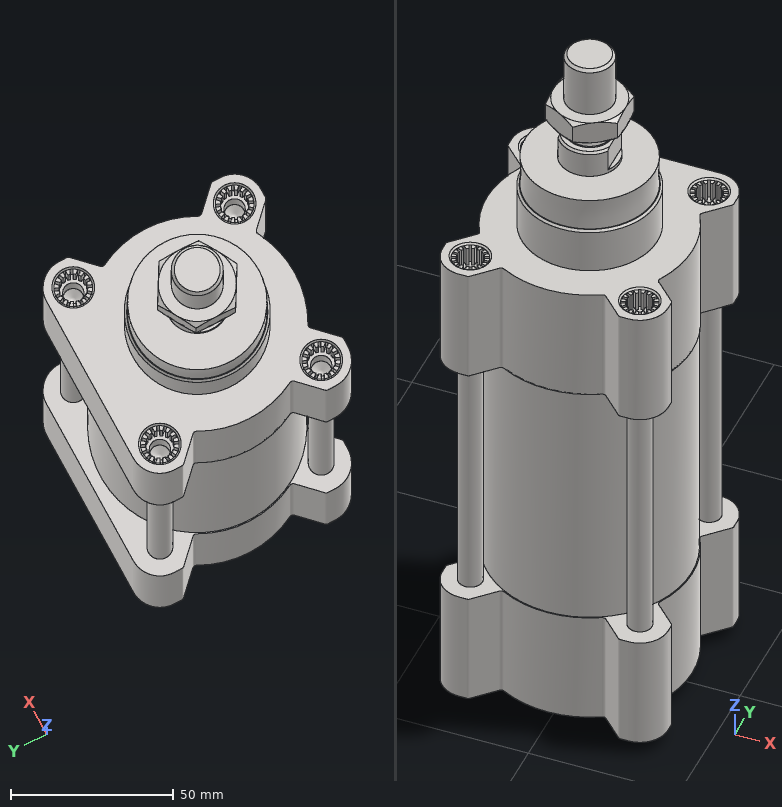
import cadquery as cq
import math

rear_cap_bottom = 4.1
cap_height = 40.0
rear_cap_top = rear_cap_bottom + cap_height
front_cap_bottom = 134.5
front_cap_top = front_cap_bottom + cap_height
boss_step = 190.5
boss_top = 202.0
collar_top = 211.5
flare_start = 212.0
undercut_bottom = 213.5
undercut_top = 214.5
thread_bottom = 216.5
nut_bottom = 217.3
nut_height = 8.0
rod_tip = 243.0

cap_width = 75.0
cap_half_width = cap_width / 2
cap_round_diameter = 68.3
tie_rod_offset = 28.2
lug_radius = cap_half_width - tie_rod_offset
lug_corner = 25.0
lug_fillet = 1.2
flank_match_tolerance = 0.02
barrel_diameter = 67.5
tie_rod_diameter = 8.0

socket_rim_diameter = 13.1
spline_outer_diameter = 12.0
spline_inner_diameter = 8.8
spline_grooves = 16
spline_depth = 7.3
pilot_diameter = 6.5
pilot_depth = 7.3
drill_tip_angle = 118.0

boss_diameter = 45.0
boss_neck_diameter = 43.0
boss_waist_diameter = 42.5
boss_step_chamfer = 0.7
rear_collar_chamfer = 0.7

collar_diameter = 20.0
collar_chamfer = 0.7
flat_bottom = 203.2
across_flats = 16.5
thread_diameter = 16.0
undercut_diameter = 13.9
undercut_flare_diameter = 14.8
tip_chamfer = 1.0

nut_across_flats = 24.0
nut_chamfer_angle = 30.0


def cylinder(diameter, bottom, top):
    """Upright cylinder on the main axis."""
    return cq.Workplane("XY").workplane(offset=bottom).circle(diameter / 2).extrude(top - bottom)


def revolve_profile(sketch):
    """Turn a closed profile of (radius, height) about the main axis."""
    return sketch.close().revolve(360, (0, 0, 0), (0, 1, 0))


def make_cap(bottom):
    """Round cap with four corner lugs; the +Y side is filled out flat."""
    slab = cq.Workplane("XY").workplane(offset=bottom)
    cap = slab.circle(cap_round_diameter / 2).extrude(cap_height)

    arc_middle = tie_rod_offset + lug_radius * math.sqrt(0.5)
    flank_shift = cap_half_width - lug_corner
    lug = (
        slab.moveTo(0, 0)
        .lineTo(flank_shift, 0)
        .lineTo(cap_half_width, lug_corner)
        .lineTo(cap_half_width, tie_rod_offset)
        .threePointArc((arc_middle, arc_middle), (tie_rod_offset, cap_half_width))
        .lineTo(lug_corner, cap_half_width)
        .lineTo(0, flank_shift)
        .close()
        .extrude(cap_height)
    )
    for quarter in range(4):
        cap = cap.union(lug.rotate((0, 0, 0), (0, 0, 1), 90 * quarter))

    flat_side = (
        slab.center(0, cap_half_width / 2)
        .rect(2 * tie_rod_offset, cap_half_width)
        .extrude(cap_height)
    )
    cap = cap.union(flat_side)

    def on_flank(edge):
        place = edge.Center()
        return abs(abs(abs(place.x) - abs(place.y)) - flank_shift) < flank_match_tolerance

    return cap.edges("|Z").filter(on_flank).fillet(lug_fillet)


def make_tie_rods():
    """Four tie rods that join the two caps."""
    return (
        cq.Workplane("XY").workplane(offset=rear_cap_top)
        .rect(2 * tie_rod_offset, 2 * tie_rod_offset, forConstruction=True)
        .vertices()
        .circle(tie_rod_diameter / 2)
        .extrude(front_cap_bottom - rear_cap_top)
    )


def make_socket():
    """Chamfered splined hole with a pointed pilot hole in its floor, as a cutting tool."""
    rim_chamfer = (socket_rim_diameter - spline_outer_diameter) / 2
    pilot_bottom = -spline_depth - pilot_depth
    tip_height = pilot_diameter / 2 / math.tan(math.radians(drill_tip_angle / 2))
    socket = revolve_profile(
        cq.Workplane("XZ")
        .moveTo(0, 0)
        .lineTo(socket_rim_diameter / 2, 0)
        .lineTo(spline_outer_diameter / 2, -rim_chamfer)
        .lineTo(spline_inner_diameter / 2, -rim_chamfer)
        .lineTo(spline_inner_diameter / 2, -spline_depth)
        .lineTo(pilot_diameter / 2, -spline_depth)
        .lineTo(pilot_diameter / 2, pilot_bottom)
        .lineTo(0, pilot_bottom - tip_height)
    )

    groove_width = math.pi * spline_inner_diameter / spline_grooves / 2
    groove = (
        cq.Workplane("XY")
        .center(spline_outer_diameter / 2, 0)
        .rect(spline_outer_diameter, groove_width)
        .extrude(-spline_depth)
        .intersect(cylinder(spline_outer_diameter, -spline_depth, 0))
    )
    for number in range(spline_grooves):
        socket = socket.union(groove.rotate((0, 0, 0), (0, 0, 1), 360 * number / spline_grooves))
    return socket


def make_front_boss():
    """Stepped boss on the front cap whose neck is slightly waisted."""
    return revolve_profile(
        cq.Workplane("XZ")
        .moveTo(0, front_cap_top)
        .lineTo(boss_diameter / 2, front_cap_top)
        .lineTo(boss_diameter / 2, boss_step - boss_step_chamfer)
        .lineTo(boss_diameter / 2 - boss_step_chamfer, boss_step)
        .lineTo(boss_neck_diameter / 2, boss_step)
        .threePointArc(
            (boss_waist_diameter / 2, (boss_step + boss_top) / 2),
            (boss_neck_diameter / 2, boss_top),
        )
        .lineTo(0, boss_top)
    )


def make_housing():
    """Caps, barrel, tie rods and centring collars as one solid."""
    rear_collar = cylinder(boss_diameter, 0, rear_cap_bottom).faces("<Z").chamfer(rear_collar_chamfer)
    housing = (
        make_cap(rear_cap_bottom)
        .union(cylinder(barrel_diameter, rear_cap_top, front_cap_bottom))
        .union(make_tie_rods())
        .union(make_cap(front_cap_bottom))
        .union(rear_collar)
        .union(make_front_boss())
    )
    socket = make_socket()
    for x in (-tie_rod_offset, tie_rod_offset):
        for y in (-tie_rod_offset, tie_rod_offset):
            housing = housing.cut(socket.translate((x, y, front_cap_top)))
    return housing


def make_piston_rod():
    """Rod end standing on the boss: collar with two wrench flats, undercut and thread."""
    rod = revolve_profile(
        cq.Workplane("XZ")
        .moveTo(0, boss_top)
        .lineTo(collar_diameter / 2, boss_top)
        .lineTo(collar_diameter / 2, collar_top - collar_chamfer)
        .lineTo(collar_diameter / 2 - collar_chamfer, collar_top)
        .lineTo(undercut_flare_diameter / 2, collar_top)
        .lineTo(undercut_flare_diameter / 2, flare_start)
        .lineTo(undercut_diameter / 2, undercut_bottom)
        .lineTo(undercut_diameter / 2, undercut_top)
        .lineTo(thread_diameter / 2, thread_bottom)
        .lineTo(thread_diameter / 2, rod_tip - tip_chamfer)
        .lineTo(thread_diameter / 2 - tip_chamfer, rod_tip)
        .lineTo(0, rod_tip)
    )
    flat_cut = (
        cq.Workplane("XY").workplane(offset=flat_bottom)
        .rect(2 * collar_diameter, 2 * collar_diameter)
        .rect(across_flats, 2 * collar_diameter)
        .extrude(collar_top - flat_bottom)
    )
    return rod.cut(flat_cut)


def make_nut():
    """Hexagon nut with flats on the X sides and corners chamfered at both ends."""
    corner_diameter = nut_across_flats / math.cos(math.radians(30))
    corner_drop = (corner_diameter - nut_across_flats) / 2 * math.tan(math.radians(nut_chamfer_angle))
    hexagon = (
        cq.Workplane("XY").workplane(offset=nut_bottom)
        .transformed(rotate=(0, 0, 30))
        .polygon(6, corner_diameter)
        .extrude(nut_height)
    )
    nut_top = nut_bottom + nut_height
    chamfer_envelope = revolve_profile(
        cq.Workplane("XZ")
        .moveTo(0, nut_bottom)
        .lineTo(nut_across_flats / 2, nut_bottom)
        .lineTo(corner_diameter / 2, nut_bottom + corner_drop)
        .lineTo(corner_diameter / 2, nut_top - corner_drop)
        .lineTo(nut_across_flats / 2, nut_top)
        .lineTo(0, nut_top)
    )
    return hexagon.intersect(chamfer_envelope).cut(cylinder(thread_diameter, nut_bottom, nut_top))


housing = make_housing()
piston_rod = make_piston_rod()
nut = make_nut()

result = cq.Compound.makeCompound([housing.val(), piston_rod.val(), nut.val()])